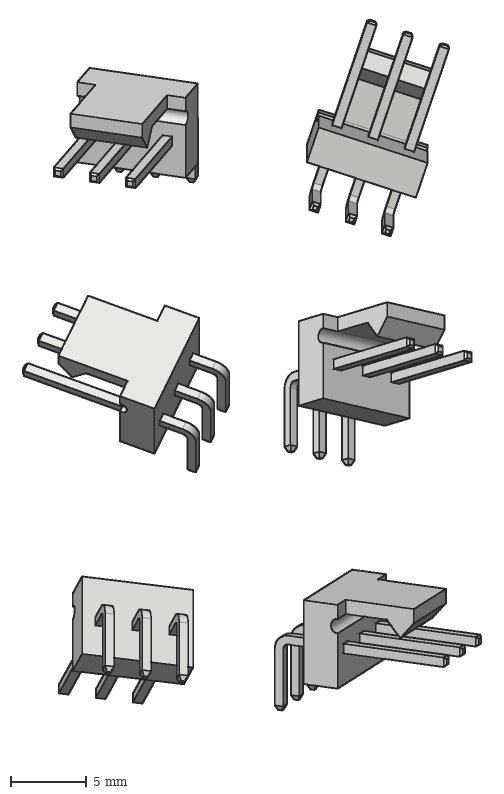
import cadquery as cq


total_length = 12.61
total_height = 8.31

wall_width = 7.65
wall_depth = 2.5
wall_height = 5.85
arm_width = 5.07
arm_length = 5.0
arm_thickness = 1.0
barb_length = 2.0
barb_height = 1.16
groove_radius = arm_thickness / 2

pin_count = 3
pin_pitch = 2.55
contact_width = 0.67
contact_length = 7.5
contact_tip_length = 0.15
contact_tip_width = 0.38
contact_top_z = wall_height - 2.98
contact_center_z = contact_top_z - contact_width / 2
tail_width = 0.62
tail_offset = 0.06
tail_tip_length = 0.35
tail_tip_width = 0.28
bend_inner_radius = 0.38
bend_outer_radius = bend_inner_radius + tail_width
tail_back_y = total_length - contact_length
tail_end_z = wall_height - total_height
joint_y = wall_depth / 2


def make_housing():
    wall = cq.Workplane("XY").box(
        wall_width, wall_depth, wall_height, centered=(True, False, False)
    )
    arm_bottom_z = wall_height - arm_thickness
    groove = (
        cq.Workplane("YZ")
        .center(0, arm_bottom_z - groove_radius)
        .circle(groove_radius)
        .extrude(wall_width / 2, both=True)
    )
    arm = (
        cq.Workplane("YZ")
        .moveTo(0, wall_height)
        .lineTo(-arm_length, wall_height)
        .lineTo(-arm_length, arm_bottom_z)
        .lineTo(-arm_length + barb_length / 2, arm_bottom_z - barb_height)
        .lineTo(-arm_length + barb_length, arm_bottom_z)
        .lineTo(0, arm_bottom_z)
        .close()
        .extrude(arm_width / 2, both=True)
    )
    return wall.cut(groove).union(arm)


def tapered_tip(plane, base_width, end_width, length):
    """Square frustum starting on the given plane."""
    return (
        cq.Workplane(plane)
        .rect(base_width, base_width)
        .workplane(offset=length)
        .rect(end_width, end_width)
        .loft()
    )


def make_contact(x):
    tip_y = -contact_length + contact_tip_length
    base = cq.Plane(origin=(x, joint_y, contact_center_z), xDir=(1, 0, 0), normal=(0, -1, 0))
    tip_base = cq.Plane(origin=(x, tip_y, contact_center_z), xDir=(1, 0, 0), normal=(0, -1, 0))
    bar = cq.Workplane(base).rect(contact_width, contact_width).extrude(joint_y - tip_y)
    return bar.union(tapered_tip(tip_base, contact_width, contact_tip_width, contact_tip_length))


def make_tail(x):
    tip_z = tail_end_z + tail_tip_length
    inner_y = tail_back_y - tail_width
    bottom_z = contact_top_z - tail_width
    bent_bar = (
        cq.Workplane("YZ", origin=(x, 0, 0))
        .moveTo(joint_y, contact_top_z)
        .lineTo(tail_back_y - bend_outer_radius, contact_top_z)
        .radiusArc((tail_back_y, contact_top_z - bend_outer_radius), bend_outer_radius)
        .lineTo(tail_back_y, tip_z)
        .lineTo(inner_y, tip_z)
        .lineTo(inner_y, bottom_z - bend_inner_radius)
        .radiusArc((inner_y - bend_inner_radius, bottom_z), -bend_inner_radius)
        .lineTo(joint_y, bottom_z)
        .close()
        .extrude(tail_width / 2, both=True)
    )
    tip_base = cq.Plane(
        origin=(x, tail_back_y - tail_width / 2, tip_z), xDir=(1, 0, 0), normal=(0, 0, -1)
    )
    return bent_bar.union(tapered_tip(tip_base, tail_width, tail_tip_width, tail_tip_length))


def make_pin(x):
    return make_contact(x).union(make_tail(x + tail_offset))


housing = make_housing()
pins = []
for index in range(pin_count):
    pin = make_pin((index - (pin_count - 1) / 2) * pin_pitch)
    housing = housing.cut(pin)
    pins.append(pin.val())

result = cq.Compound.makeCompound([housing.val(), *pins])